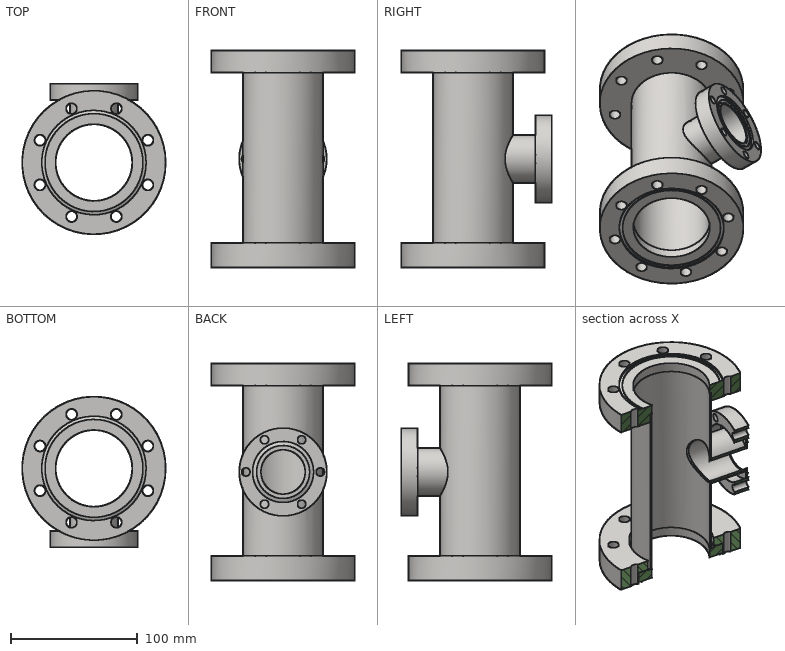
import cadquery as cq
import math

overall_height = 171.5
main_tube_diameter = 63.5
main_bore = 60.4
main_flange_diameter = 113.5
fixed_flange_thickness = 17.5
main_ring_thickness = 19.4
main_ring_bore = 66.7
main_recess_diameter = 82.5
main_knife_diameter = 77.3
main_collar_thickness = 10.3
main_bolt_circle = 92.2
main_bolt_hole = 8.4
main_bolt_count = 8
main_bolt_angle = 180 / main_bolt_count

branch_height = overall_height / 2
branch_reach = 62.4
branch_tube_diameter = 38.0
branch_bore = 35.0
branch_ring_diameter = 69.5
branch_ring_thickness = 13.0
branch_recess_diameter = 48.2
branch_ring_bore = branch_recess_diameter
branch_knife_diameter = 41.8
branch_collar_thickness = 3.1
branch_bolt_circle = 58.6
branch_bolt_hole = 6.5
branch_bolt_count = 6
branch_bolt_angle = 0

seal_depth = 1.2
knife_height = 0.7
knife_slope = math.radians(20)
socket_depth = 8.2
branch_socket_depth = 0.9


def cylinder(diameter, bottom, top):
    return cq.Workplane("XY").workplane(offset=bottom).circle(diameter / 2).extrude(top - bottom)


def knife_edge_cut(recess_diameter, knife_diameter):
    """Recess below z = 0 that leaves a knife edge: vertical inside, sloping down on the outside."""
    recess_radius = recess_diameter / 2
    knife_radius = knife_diameter / 2
    tip = knife_height - seal_depth
    slope_foot = tip - (recess_radius - knife_radius) * math.tan(knife_slope)
    return (
        cq.Workplane("XZ")
        .polyline([
            (0, 0),
            (recess_radius, 0),
            (recess_radius, slope_foot),
            (knife_radius, tip),
            (knife_radius, -seal_depth),
            (0, -seal_depth),
        ])
        .close()
        .revolve(360, (0, 0, 0), (0, 1, 0))
    )


def bolt_holes(circle_diameter, hole_diameter, count, thickness, first_angle):
    """Ring of holes through z = -thickness to 0."""
    return (
        cq.Workplane("XY")
        .polarArray(circle_diameter / 2, first_angle, 360, count)
        .circle(hole_diameter / 2)
        .extrude(-thickness)
    )


def make_fixed_flange():
    flange = cylinder(main_flange_diameter, -fixed_flange_thickness, 0)
    flange = flange.cut(knife_edge_cut(main_recess_diameter, main_knife_diameter))
    flange = flange.cut(cylinder(main_bore, -fixed_flange_thickness, 0))
    tube_end = -seal_depth - socket_depth
    flange = flange.cut(cylinder(main_tube_diameter, -fixed_flange_thickness, tube_end))
    return flange.cut(bolt_holes(
        main_bolt_circle, main_bolt_hole, main_bolt_count, fixed_flange_thickness, main_bolt_angle,
    ))


def make_ring(diameter, thickness, bore, recess_diameter, collar_thickness, holes):
    """Rotatable bolt ring that holds the insert collar at its sealing face."""
    ring = cylinder(diameter, -thickness, 0)
    ring = ring.cut(cylinder(bore, -thickness, 0))
    ring = ring.cut(cylinder(recess_diameter, -collar_thickness, 0))
    return ring.cut(holes)


def make_insert(recess_diameter, knife_diameter, collar_thickness, bore, tube_diameter, tube_end):
    """Collar that carries the knife edge and a socket for the tube."""
    insert = cylinder(recess_diameter, -collar_thickness, 0)
    insert = insert.cut(knife_edge_cut(recess_diameter, knife_diameter))
    insert = insert.cut(cylinder(bore, -collar_thickness, 0))
    return insert.cut(cylinder(tube_diameter, -collar_thickness, tube_end))


def place_at_bottom(body):
    return body.rotate((0, 0, 0), (1, 0, 0), 180)


def place_on_branch(body):
    """Turn local +Z to +Y and move the local origin to the end of the branch."""
    return body.rotate((0, 0, 0), (1, 0, 0), -90).translate((0, branch_reach, branch_height))


tube_inset = seal_depth + socket_depth
branch_tube_inset = seal_depth + branch_socket_depth
main_tube = cylinder(main_tube_diameter, tube_inset, overall_height - tube_inset)
main_tube = main_tube.cut(cylinder(main_bore, 0, overall_height))
main_tube = main_tube.cut(place_on_branch(cylinder(branch_bore, -branch_reach, 0)))

branch_tube = place_on_branch(
    cylinder(branch_tube_diameter, -branch_reach, -branch_tube_inset)
    .cut(cylinder(branch_bore, -branch_reach, 0))
).cut(cylinder(main_tube_diameter, 0, overall_height))

fixed_flange = make_fixed_flange().translate((0, 0, overall_height))

main_ring = place_at_bottom(make_ring(
    main_flange_diameter, main_ring_thickness, main_ring_bore, main_recess_diameter,
    main_collar_thickness,
    bolt_holes(main_bolt_circle, main_bolt_hole, main_bolt_count, main_ring_thickness, main_bolt_angle),
))
main_insert = place_at_bottom(make_insert(
    main_recess_diameter, main_knife_diameter, main_collar_thickness,
    main_bore, main_tube_diameter, -tube_inset,
))

branch_ring = place_on_branch(make_ring(
    branch_ring_diameter, branch_ring_thickness, branch_ring_bore, branch_recess_diameter,
    branch_collar_thickness,
    bolt_holes(
        branch_bolt_circle, branch_bolt_hole, branch_bolt_count, branch_ring_thickness, branch_bolt_angle,
    ),
))
branch_insert = place_on_branch(make_insert(
    branch_recess_diameter, branch_knife_diameter, branch_collar_thickness,
    branch_bore, branch_tube_diameter, -branch_tube_inset,
))

result = cq.Compound.makeCompound([
    main_tube.val(),
    branch_tube.val(),
    fixed_flange.val(),
    main_ring.val(),
    main_insert.val(),
    branch_ring.val(),
    branch_insert.val(),
])